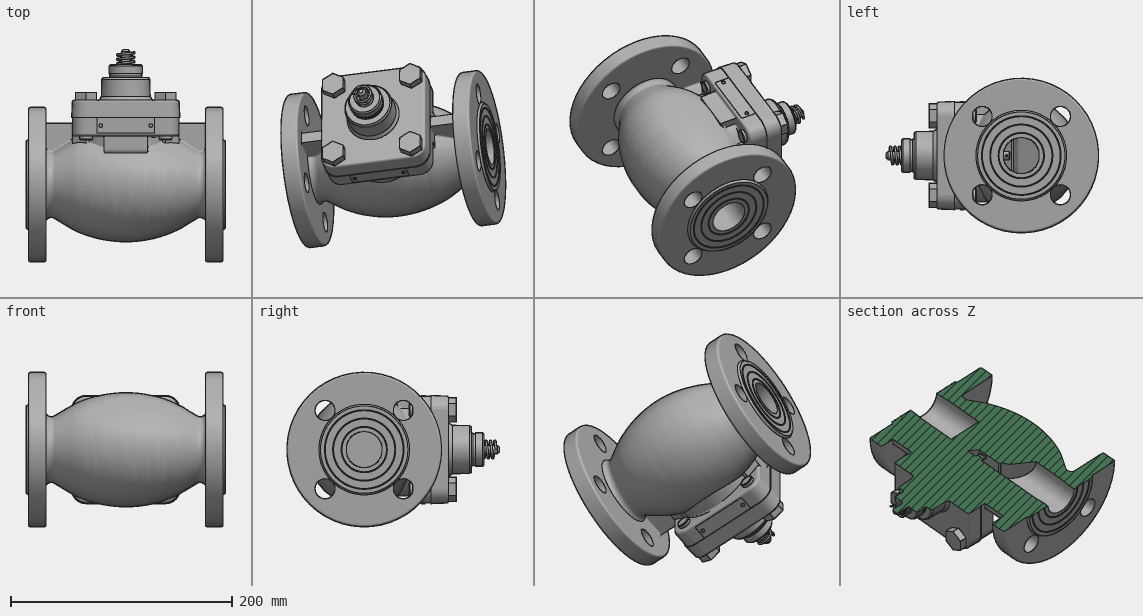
import cadquery as cq
import math


face_to_face = 180.0
flange_dia = 140.0
flange_thickness = 16.0
flange_round = 2.0
raised_face_height = 2.0
raised_face_base_dia = 82.0
raised_face_dia = 79.0
bolt_circle_dia = 100.0
flange_hole_dia = 18.0
flange_hole_count = 4
seal_groove_radii = (20.5, 28.1, 35.6)
seal_groove_width = 0.8
seal_groove_depth = 0.4
flange_outer_x = face_to_face / 2 - raised_face_height
flange_inner_x = flange_outer_x - flange_thickness

barrel_radius = 51.9
barrel_arc_radius = 107.0
barrel_cone_angle = 29.0
neck_x = 67.3
neck_radius = 29.8
neck_round = 5.5

bore_dia = 32.5
bore_mouth_length = 7.2
bore_flare_length = 8.0
passage_dia = 34.0
outlet_end_x = 36.0

ramp_angle = 35.0
crest_x = -26.0
crest_y = 2.2
crest_step_depth = 7.0
crest_step_y = 7.2
recess_lip = 0.5
recess_bottom_y = 8.9
recess_end_x = 8.0
plug_stem_bottom_y = 10.3
plug_stem_chamfer = 1.0
plug_pin_y = 13.3
plug_pin_hole_dia = 1.8

pad_width = 96.4
pad_bottom_y = 43.8
pad_top_y = 60.6
pad_round = 2.3
corner_radius = 12.3
pad_neck_radius = 42.2

shoulder_outer_half_z = 16.0
shoulder_inner_half_z = 26.0
shoulder_inner_x = 36.0

block_width = 39.4
block_bottom_y = 28.6
block_z = 44.2
block_bevel_y = 31.5
block_bevel_mid_y = 30.1
block_bevel_mid_z = 43.9
block_bevel_z = 43.1
block_corner_chamfer = 1.0

neck_foot_fillet = 1.2
neck_top_fillet = 1.2

web_thickness = 10.0
web_top_y = 55.5
web_fillet = 1.5

plate_width = 52.4
plate_bottom_y = 46.5
plate_thickness = 0.2
plate_corner = 1.0
pin_spacing = 45.2
pin_y = 53.4
pin_dia = 3.2
pin_height = 0.8

bonnet_top_y = 76.4
bonnet_base_width = 98.0
bonnet_draft = 2.3
bonnet_corner_radius = 13.2
bonnet_round = 2.0

screw_spacing = 71.8
screw_head_sides = 6
screw_head_flats = 19.2
screw_head_height = 7.0
screw_dia = 12.0
screw_end_y = 40.5
screw_end_chamfer = 0.8

tower_base_radius = 24.2
tower_flare_y = 79.7
tower_lower_radius = 22.2
tower_upper_radius = 21.8
tower_top_y = 97.0
tower_chamfer_width = 1.2
tower_chamfer_height = 1.9
groove_foot_radius = 14.8
groove_foot_y = 98.4
groove_radius = 14.5
collar_bottom_y = 100.6
collar_radius = 15.3
collar_top_y = 108.4
collar_chamfer = 1.3
stem_radius = 3.9
stem_top_y = 122.4
stem_tip_radius = 2.0

spring_mean_radius = 7.5
spring_wire_radius = 1.0
spring_pitch = 4.0
spring_turns = 3
spring_bottom_y = 107.2


def extrude_up(sketch_plane_y):
    """Workplane facing +Y at the given height; its local axes are X and -Z."""
    return cq.Workplane("XZ", origin=(0, sketch_plane_y, 0)).transformed(rotate=(180, 0, 0))


def barrel():
    angle = math.radians(barrel_cone_angle)
    half_angle = angle / 2
    arc_x = barrel_arc_radius * math.sin(angle)
    arc_r = barrel_radius - barrel_arc_radius * (1 - math.cos(angle))
    mid_x = barrel_arc_radius * math.sin(half_angle)
    mid_r = barrel_radius - barrel_arc_radius * (1 - math.cos(half_angle))
    cone_end_x = neck_x - neck_round * math.sin(angle)
    cone_end_r = neck_radius + neck_round * (1 - math.cos(angle))
    round_end_r = neck_radius + neck_round - math.sqrt(neck_round**2 - (flange_inner_x - neck_x) ** 2)
    rise = (math.cos(angle), math.sin(angle))
    fall = (math.cos(angle), -math.sin(angle))
    curve = [
        (-arc_x, arc_r),
        (-mid_x, mid_r),
        (0, barrel_radius),
        (mid_x, mid_r),
        (arc_x, arc_r),
        (cone_end_x, cone_end_r),
    ]
    return (
        cq.Workplane("XY")
        .moveTo(-flange_inner_x, 0)
        .lineTo(-flange_inner_x, round_end_r)
        .threePointArc((-neck_x, neck_radius), (-cone_end_x, cone_end_r))
        .spline(curve, tangents=[rise, fall], includeCurrent=True)
        .threePointArc((neck_x, neck_radius), (flange_inner_x, round_end_r))
        .lineTo(flange_inner_x, 0)
        .close()
        .revolve(360, (0, 0, 0), (1, 0, 0))
    )


def flange():
    """The +X flange with its raised face and seal grooves."""
    outer_x = face_to_face / 2
    disc = (
        cq.Workplane("YZ", origin=(flange_inner_x, 0, 0))
        .circle(flange_dia / 2)
        .extrude(flange_thickness)
        .edges()
        .fillet(flange_round)
    )
    raised_face = (
        cq.Workplane("XY")
        .moveTo(flange_outer_x, 0)
        .lineTo(flange_outer_x, raised_face_base_dia / 2)
        .lineTo(outer_x, raised_face_dia / 2)
        .lineTo(outer_x, 0)
        .close()
        .revolve(360, (0, 0, 0), (1, 0, 0))
    )
    body = disc.union(raised_face)
    for radius in seal_groove_radii:
        groove = (
            cq.Workplane("YZ", origin=(outer_x - seal_groove_depth, 0, 0))
            .circle(radius + seal_groove_width / 2)
            .circle(radius - seal_groove_width / 2)
            .extrude(seal_groove_depth)
        )
        body = body.cut(groove)
    holes = (
        cq.Workplane("YZ", origin=(flange_inner_x, 0, 0))
        .polarArray(bolt_circle_dia / 2, 180 / flange_hole_count, 360, flange_hole_count)
        .circle(flange_hole_dia / 2)
        .extrude(flange_thickness)
    )
    return body.cut(holes)


def webs():
    """One plate from flange to flange; its middle lies inside the barrel and the pad."""
    return extrude_up(0).rect(2 * flange_inner_x, web_thickness).extrude(web_top_y)


def shoulders():
    outer_x = pad_width / 2
    return (
        extrude_up(0)
        .polyline(
            [
                (-outer_x, -shoulder_outer_half_z),
                (-shoulder_inner_x, -shoulder_inner_half_z),
                (shoulder_inner_x, -shoulder_inner_half_z),
                (outer_x, -shoulder_outer_half_z),
                (outer_x, shoulder_outer_half_z),
                (shoulder_inner_x, shoulder_inner_half_z),
                (-shoulder_inner_x, shoulder_inner_half_z),
                (-outer_x, shoulder_outer_half_z),
            ]
        )
        .close()
        .extrude(pad_bottom_y + pad_round)
    )


def pad():
    plate = (
        extrude_up(pad_bottom_y)
        .rect(pad_width, pad_width)
        .extrude(pad_top_y - pad_bottom_y)
        .edges("|Y")
        .fillet(corner_radius)
        .faces("<Y")
        .edges()
        .fillet(pad_round)
    )
    neck = extrude_up(0).circle(pad_neck_radius).extrude(pad_bottom_y)
    return plate.union(neck)


def block():
    """Bar along X under the +Z side of the pad, bevelled twice along its lower front edge."""
    return (
        cq.Workplane("YZ")
        .moveTo(pad_bottom_y, 0)
        .lineTo(pad_bottom_y, block_z)
        .lineTo(block_bevel_y, block_z)
        .lineTo(block_bevel_mid_y, block_bevel_mid_z)
        .lineTo(block_bottom_y, block_bevel_z)
        .lineTo(block_bottom_y, 0)
        .close()
        .extrude(block_width / 2, both=True)
        .edges("|Z and <Y")
        .chamfer(block_corner_chamfer)
    )


def name_plate():
    """The +Z name plate on the side of the pad."""
    height = pad_top_y - plate_bottom_y
    side_z = pad_width / 2
    plate = (
        cq.Workplane("XY", origin=(0, plate_bottom_y + height / 2, side_z))
        .rect(plate_width, height)
        .extrude(plate_thickness)
        .edges("|Z and <Y")
        .fillet(plate_corner)
    )
    pins = (
        cq.Workplane("XY", origin=(0, pin_y, side_z))
        .pushPoints([(-pin_spacing / 2, 0), (pin_spacing / 2, 0)])
        .circle(pin_dia / 2)
        .extrude(pin_height)
    )
    return plate.union(pins)


def bonnet():
    base = (
        extrude_up(pad_top_y)
        .sketch()
        .rect(bonnet_base_width, bonnet_base_width)
        .vertices()
        .fillet(bonnet_corner_radius)
        .finalize()
        .extrude(bonnet_top_y - pad_top_y, taper=bonnet_draft)
        .faces(">Y")
        .edges()
        .fillet(bonnet_round)
    )
    return base.union(tower())


def tower():
    """Turned boss, grooved collar and stem above the bonnet."""
    return (
        cq.Workplane("XY")
        .moveTo(0, pad_top_y)
        .lineTo(tower_base_radius, pad_top_y)
        .lineTo(tower_base_radius, bonnet_top_y)
        .lineTo(tower_lower_radius, tower_flare_y)
        .lineTo(tower_upper_radius, tower_top_y - tower_chamfer_height)
        .lineTo(tower_upper_radius - tower_chamfer_width, tower_top_y)
        .lineTo(groove_foot_radius, tower_top_y)
        .lineTo(groove_foot_radius, groove_foot_y)
        .lineTo(groove_radius, groove_foot_y)
        .lineTo(groove_radius, collar_bottom_y)
        .lineTo(collar_radius, collar_bottom_y)
        .lineTo(collar_radius, collar_top_y - collar_chamfer)
        .lineTo(collar_radius - collar_chamfer, collar_top_y)
        .lineTo(stem_radius, collar_top_y)
        .lineTo(stem_radius, stem_top_y - stem_tip_radius)
        .lineTo(stem_tip_radius, stem_top_y)
        .lineTo(0, stem_top_y)
        .close()
        .revolve(360, (0, 0, 0), (0, 1, 0))
    )


def spring():
    helix = cq.Wire.makeHelix(spring_pitch, spring_pitch * spring_turns, spring_mean_radius)
    coil = (
        cq.Workplane("XZ", origin=(spring_mean_radius, 0, 0))
        .circle(spring_wire_radius)
        .sweep(cq.Workplane(obj=helix), isFrenet=True)
    )
    return coil.rotate((0, 0, 0), (1, 0, 0), -90).translate((0, spring_bottom_y, 0))


def bonnet_screw():
    """Hex screw on the Y axis, with flats facing +X and -X."""
    head = (
        extrude_up(bonnet_top_y)
        .polygon(screw_head_sides, screw_head_flats, circumscribed=True)
        .extrude(screw_head_height)
    )
    shank = (
        extrude_up(screw_end_y)
        .circle(screw_dia / 2)
        .extrude(bonnet_top_y - screw_end_y)
        .faces("<Y")
        .chamfer(screw_end_chamfer)
    )
    return head.union(shank)


def bore(end_x):
    """The +X bore, from the flange face in to end_x."""
    outer_x = face_to_face / 2
    mouth_x = outer_x - bore_mouth_length
    flare_x = mouth_x - bore_flare_length
    return (
        cq.Workplane("XY")
        .moveTo(end_x, 0)
        .lineTo(end_x, passage_dia / 2)
        .lineTo(flare_x, passage_dia / 2)
        .lineTo(mouth_x, bore_dia / 2)
        .lineTo(outer_x, bore_dia / 2)
        .lineTo(outer_x, 0)
        .close()
        .revolve(360, (0, 0, 0), (1, 0, 0))
    )


def inlet():
    """The -X bore, bounded inside by the ramp, the crest and the recess."""
    slope = math.tan(math.radians(ramp_angle))
    radius = passage_dia / 2
    ramp_direction = (slope, 1)
    step_x = crest_x + crest_step_depth
    lip_x = step_x + slope * (recess_bottom_y - crest_step_y)
    boundary = (
        cq.Workplane("XY")
        .moveTo(-face_to_face / 2, -radius)
        .lineTo(crest_x - slope * (crest_y + radius), -radius)
        .lineTo(crest_x, crest_y)
        .spline([(step_x, crest_step_y)], tangents=[ramp_direction, ramp_direction], includeCurrent=True)
        .lineTo(step_x + recess_lip, crest_step_y)
        .lineTo(lip_x + recess_lip, recess_bottom_y)
        .lineTo(recess_end_x, recess_bottom_y)
        .lineTo(recess_end_x + slope * (radius - recess_bottom_y), radius)
        .lineTo(-face_to_face / 2, radius)
        .close()
        .extrude(radius, both=True)
    )
    passage = bore(-outlet_end_x).mirror("YZ").intersect(boundary)
    return passage.cut(plug_stem())


def plug_stem():
    pin_hole = (
        cq.Workplane("YZ")
        .center(plug_pin_y, 0)
        .circle(plug_pin_hole_dia / 2)
        .extrude(stem_radius, both=True)
    )
    return (
        extrude_up(plug_stem_bottom_y)
        .circle(stem_radius)
        .extrude(passage_dia / 2 - plug_stem_bottom_y)
        .faces("<Y")
        .chamfer(plug_stem_chamfer)
        .cut(pin_hole)
    )


def both_ends(feature):
    return feature.union(feature.mirror("YZ"))


def fillet_webs(casting):
    """Round the webs into the flanges, the barrel and the pad."""
    margin = 1.0
    for end in (-1, 1):
        for side in (-1, 1):
            face_z = side * web_thickness / 2
            x_limits = sorted((end * (pad_width / 2 - margin), end * (flange_inner_x + margin)))
            root = cq.selectors.BoxSelector(
                (x_limits[0], 0, face_z - margin), (x_limits[1], web_top_y - margin, face_z + margin)
            )
            casting = casting.edges(root).fillet(web_fillet)
    return casting


def fillet_neck(casting):
    """Round the neck into the pad, and into the barrel on both sides of the block."""
    overlap = 1.0
    reach_z = block_z + overlap
    top = cq.selectors.BoxSelector(
        (-shoulder_inner_x, pad_bottom_y - overlap, -reach_z),
        (shoulder_inner_x, pad_bottom_y + overlap, reach_z),
    )
    casting = casting.edges(top).fillet(neck_top_fillet)
    for low_x, high_x in ((-shoulder_inner_x, -block_width / 2), (block_width / 2, shoulder_inner_x)):
        foot = cq.selectors.BoxSelector(
            (low_x, barrel_radius / 2, shoulder_inner_half_z),
            (high_x, pad_bottom_y - 2 * neck_top_fillet, pad_neck_radius),
        )
        casting = casting.edges(foot).edges("not %LINE").fillet(neck_foot_fillet)
    return casting


casting = barrel().union(both_ends(flange())).union(pad()).union(shoulders()).union(block())
casting = fillet_neck(casting)
casting = fillet_webs(casting.union(webs()))

result = casting.union(bonnet()).union(spring())
plate = name_plate()
result = result.union(plate).union(plate.mirror("XY"))
for x_side in (-1, 1):
    for z_side in (-1, 1):
        place = (x_side * screw_spacing / 2, 0, z_side * screw_spacing / 2)
        result = result.union(bonnet_screw().translate(place))
result = result.cut(inlet()).cut(bore(outlet_end_x))